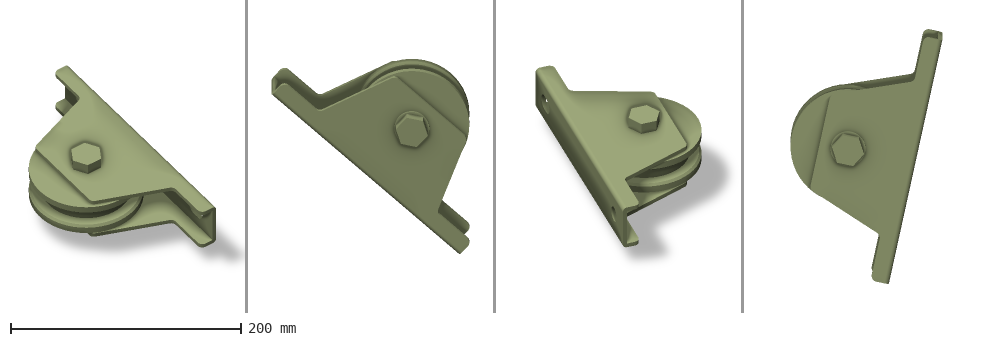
import cadquery as cq

length = 220.0
channel_height = 42.7
sheet = 4.0
back_y = 60.0
bend_radius = 4.0

lip_depth = 16.3
arm_depth = 85.0
arm_root_width = 138.2
arm_tip_width = 85.0
corner_radius = 5.0

hole_diameter = 14.0
round_hole_x = -88.0
slot_x = 85.0
slot_length = 20.0

wheel_radius = 50.0
wheel_width = 30.8
groove_radius = 39.8
groove_width = 14.3
rim_chamfer = 2.0

axle_radius = 7.5
hex_across_flats = 24.6
head_height = 10.5
washer_radius = 15.2
washer_thickness = 2.5
nut_height = 10.3


def make_bracket():
    half_height = channel_height / 2
    channel = (
        cq.Workplane("XY")
        .box(length, arm_depth, channel_height)
        .translate((0, back_y - arm_depth / 2, 0))
        .edges("|X and >Y")
        .fillet(bend_radius)
    )
    cavity = (
        cq.Workplane("XY")
        .box(length, arm_depth, channel_height - 2 * sheet)
        .translate((0, back_y - sheet - arm_depth / 2, 0))
    )
    lip_y = back_y - lip_depth
    tip_y = back_y - arm_depth
    outline = (
        cq.Workplane("XY", origin=(0, 0, -half_height))
        .polyline([
            (-length / 2, back_y),
            (-length / 2, lip_y),
            (-arm_root_width / 2, lip_y),
            (-arm_tip_width / 2, tip_y),
            (arm_tip_width / 2, tip_y),
            (arm_root_width / 2, lip_y),
            (length / 2, lip_y),
            (length / 2, back_y),
        ])
        .close()
        .extrude(channel_height)
        .edges("|Z and (not >Y)")
        .fillet(corner_radius)
    )
    web = cq.Workplane("XZ", origin=(0, back_y, 0))
    round_hole = web.center(round_hole_x, 0).circle(hole_diameter / 2).extrude(sheet)
    slot = web.center(slot_x, 0).slot2D(slot_length, hole_diameter).extrude(sheet)
    return channel.intersect(outline).cut(cavity).cut(round_hole).cut(slot)


def make_wheel():
    rim_z = wheel_width / 2
    groove_z = groove_width / 2
    profile = [
        (0, -rim_z),
        (wheel_radius, -rim_z),
        (wheel_radius, -groove_z - rim_chamfer),
        (wheel_radius - rim_chamfer, -groove_z),
        (groove_radius, -groove_z),
        (groove_radius, groove_z),
        (wheel_radius - rim_chamfer, groove_z),
        (wheel_radius, groove_z + rim_chamfer),
        (wheel_radius, rim_z),
        (0, rim_z),
    ]
    return cq.Workplane("XZ").polyline(profile).close().revolve(360, (0, 0), (0, 1))


def make_hexagon(bottom_z, height):
    """Hexagonal prism with two of its corners on the Y axis."""
    return (
        cq.Workplane("XY", origin=(0, 0, bottom_z))
        .polygon(6, hex_across_flats, circumscribed=True)
        .extrude(height)
    )


def make_axle():
    half_height = channel_height / 2
    washer_z = -half_height - washer_thickness
    shaft = cq.Workplane("XY").circle(axle_radius).extrude(half_height, both=True)
    washer = cq.Workplane("XY", origin=(0, 0, washer_z)).circle(washer_radius).extrude(washer_thickness)
    head = make_hexagon(half_height, head_height)
    nut = make_hexagon(washer_z - nut_height, nut_height)
    return shaft.union(washer).union(head).union(nut)


result = make_bracket().union(make_wheel()).union(make_axle())